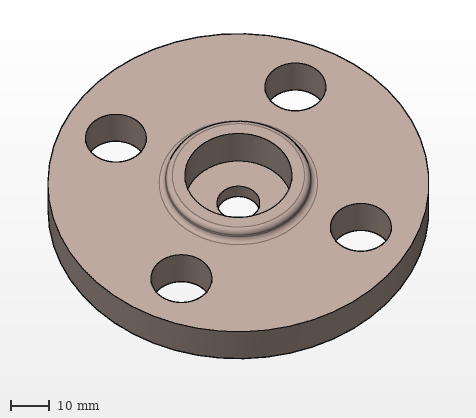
import cadquery as cq
import math

flange_diameter = 98.5
total_height = 15.8

raised_face_diameter = 43.2
raised_face_height = 1.5

hub_height = 3.1
hub_top_flat_diameter = 34.2
hub_wall_draft = 14.0
hub_round_radius = 1.7

socket_diameter = 27.7
socket_depth = 11.4
bore_diameter = 11.0

bolt_hole_count = 4
bolt_hole_diameter = 15.8
bolt_circle_diameter = 69.85

flange_top = total_height - hub_height


def make_disc(diameter, bottom, top):
    """Solid disc on the Z axis between two heights."""
    return cq.Workplane("XY").workplane(offset=bottom).circle(diameter / 2).extrude(top - bottom)


def make_hub():
    """Revolve the hub's S-shaped side: convex round, tapered wall, concave round."""
    draft = math.radians(hub_wall_draft)
    round_width = hub_round_radius * math.cos(draft)
    round_drop = hub_round_radius * (1 - math.sin(draft))
    wall_height = hub_height - 2 * round_drop

    half_turn = (math.pi / 2 - draft) / 2
    mid_width = hub_round_radius * math.sin(half_turn)
    mid_drop = hub_round_radius * (1 - math.cos(half_turn))

    top_radius = hub_top_flat_diameter / 2
    wall_top_radius = top_radius + round_width
    wall_bottom_radius = wall_top_radius + wall_height * math.tan(draft)
    base_radius = wall_bottom_radius + round_width

    profile = (
        cq.Workplane("XZ")
        .moveTo(0, flange_top)
        .lineTo(0, total_height)
        .lineTo(top_radius, total_height)
        .threePointArc(
            (top_radius + mid_width, total_height - mid_drop),
            (wall_top_radius, total_height - round_drop),
        )
        .lineTo(wall_bottom_radius, flange_top + round_drop)
        .threePointArc(
            (base_radius - mid_width, flange_top + mid_drop),
            (base_radius, flange_top),
        )
        .close()
    )
    return profile.revolve(360, (0, 0, 0), (0, 1, 0))


def make_bolt_holes():
    """Through cutters on the bolt circle, the first one on +X."""
    return (
        cq.Workplane("XY")
        .polarArray(bolt_circle_diameter / 2, 0, 360, bolt_hole_count)
        .circle(bolt_hole_diameter / 2)
        .extrude(total_height)
    )


raised_face = make_disc(raised_face_diameter, 0, raised_face_height)
flange = make_disc(flange_diameter, raised_face_height, flange_top)
socket = make_disc(socket_diameter, total_height - socket_depth, total_height)
bore = make_disc(bore_diameter, 0, total_height)

body = flange.union(raised_face).union(make_hub())
result = body.cut(socket).cut(bore).cut(make_bolt_holes())